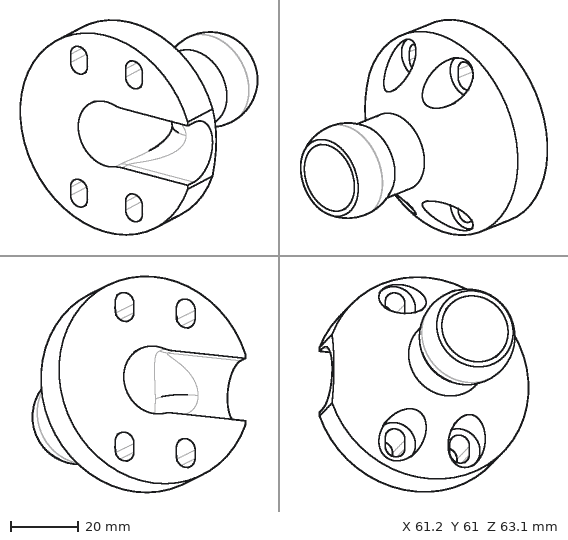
import cadquery as cq
import math

flange_radius = 31.55
flange_thickness = 12.8
flat_x = 29.65
neck_radius = 23.8 / 2
neck_length = 12.7
ball_radius = 14.2
total_length = 61.0
bore_radius = 20.65 / 2

channel_radius = 9.5
channel_axis_y = 3.2
channel_blend_radius = 9.6

slot_width = 6.1
slot_length = 8.8
slot_x = 10.05
slot_z = 21.35
counterbore_radius = 12.7 / 2
counterbore_floor_y = flange_thickness

cone_end_y = flange_thickness + flange_radius - neck_radius
ball_start_y = cone_end_y + neck_length
ball_half_length = math.sqrt(ball_radius**2 - neck_radius**2)
lower_center_y = ball_start_y + ball_half_length
upper_center_y = total_length - ball_half_length

arc_mid_angle = math.asin(ball_half_length / ball_radius) / 2
arc_x = ball_radius * math.cos(arc_mid_angle)
arc_y = ball_radius * math.sin(arc_mid_angle)


def make_body():
    """Flange, cone, neck and ball; a thin cylindrical band joins the ball halves."""
    return (
        cq.Workplane("XY")
        .lineTo(flange_radius, 0)
        .lineTo(flange_radius, flange_thickness)
        .lineTo(neck_radius, cone_end_y)
        .lineTo(neck_radius, ball_start_y)
        .threePointArc((arc_x, lower_center_y - arc_y), (ball_radius, lower_center_y))
        .lineTo(ball_radius, upper_center_y)
        .threePointArc((arc_x, upper_center_y + arc_y), (neck_radius, total_length))
        .lineTo(0, total_length)
        .close()
        .revolve(360, (0, 0, 0), (0, 1, 0))
    )


def make_flat_cutter():
    """Block that removes the rim beyond the flat on the +X side."""
    size = 2 * flange_radius
    return cq.Workplane("XY").box(size, 2 * size, size).translate((flat_x + size / 2, 0, 0))


def make_bore():
    return cq.Workplane("XZ").circle(bore_radius).extrude(-total_length)


def make_channel():
    """U-shaped channel from the axis out through the +X side, open at the flange face."""
    round_bottom = (
        cq.Workplane("YZ").center(channel_axis_y, 0).circle(channel_radius).extrude(flange_radius)
    )
    wall_height = channel_axis_y + channel_radius
    walls = (
        cq.Workplane("YZ")
        .center(channel_axis_y - wall_height / 2, 0)
        .rect(wall_height, 2 * channel_radius)
        .extrude(flange_radius)
    )
    return round_bottom.union(walls)


def blend_channel(body):
    """Round the edge where the bore runs into the channel."""
    blend_zone = cq.selectors.BoxSelector(
        (0, channel_axis_y, -channel_radius),
        (channel_blend_radius + bore_radius, channel_axis_y + 2 * channel_radius, channel_radius),
    )
    return body.edges(blend_zone).fillet(channel_blend_radius)


def make_slotted_holes():
    """Four slots along Z, each with a round counterbore entering from the cone."""
    centers = [(x, z) for x in (-slot_x, slot_x) for z in (-slot_z, slot_z)]
    slots = (
        cq.Workplane("XZ").pushPoints(centers).slot2D(slot_length, slot_width, 90)
        .extrude(-total_length)
    )
    counterbores = (
        cq.Workplane("XZ", origin=(0, counterbore_floor_y, 0))
        .pushPoints(centers)
        .circle(counterbore_radius)
        .extrude(-total_length)
    )
    return slots.union(counterbores)


body = make_body().cut(make_flat_cutter()).cut(make_bore()).cut(make_channel())
result = blend_channel(body).cut(make_slotted_holes())